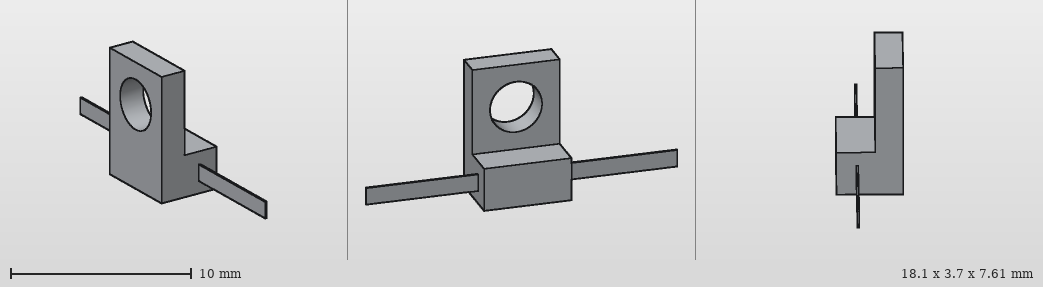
import cadquery as cq

lead_span = 18.08
body_depth = 3.7
body_height = 7.61

body_width = 5.08
plate_thickness = 1.55
foot_height = body_height / 3

hole_diameter = 3.02
hole_height = body_height - body_width / 2

lead_thickness = 0.1
lead_width = 1.0
lead_bottom = 0.76
lead_y = 2.55


def make_body():
    """L profile in the YZ plane, extruded symmetrically along X."""
    profile = [
        (0, 0),
        (body_depth, 0),
        (body_depth, foot_height),
        (plate_thickness, foot_height),
        (plate_thickness, body_height),
        (0, body_height),
    ]
    return cq.Workplane("YZ").polyline(profile).close().extrude(body_width / 2, both=True)


def make_hole():
    """Cylinder along Y that pierces the upright plate."""
    hole = cq.Workplane("XZ").center(0, hole_height).circle(hole_diameter / 2)
    return hole.extrude(-plate_thickness)


def make_lead():
    """Thin strip protruding equally from both sides of the body."""
    strip = cq.Workplane("XY").box(lead_span, lead_thickness, lead_width, centered=(True, True, False))
    return strip.translate((0, lead_y, lead_bottom))


result = make_body().cut(make_hole()).union(make_lead())